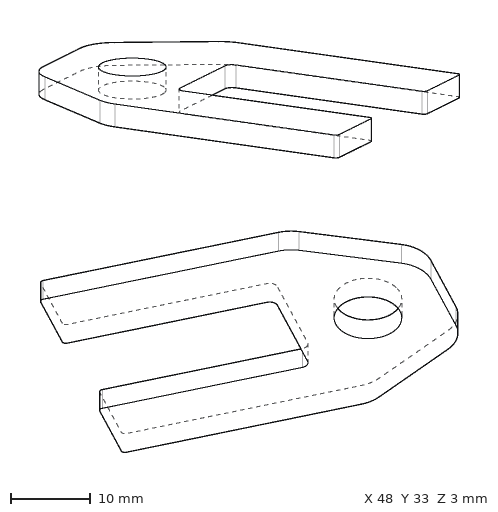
import cadquery as cq
import math

length = 48.0
width = 33.0
thickness = 3.0

nose_length = 15.0
nose_angle = 30.0
nose_radius = 5.0

hole_diameter = 8.5
hole_from_nose = 10.0
slot_from_nose = 20.0
slot_width = 14.0
slot_corner_radius = 1.0

tip_radius = 0.5

half_width = width / 2
nose_half_width = half_width - nose_length * math.tan(math.radians(nose_angle))


def vertical_edges(solid, x):
    """Select the vertical edges of the solid that stand at the given X."""
    margin = 0.01
    box = cq.selectors.BoxSelector(
        (x - margin, -width, -thickness),
        (x + margin, width, 2 * thickness),
    )
    return solid.edges("|Z").edges(box)


def make_plate():
    """Plate with a tapered nose at X = 0 and a square end at X = length."""
    outline = [
        (0, -nose_half_width),
        (nose_length, -half_width),
        (length, -half_width),
        (length, half_width),
        (nose_length, half_width),
        (0, nose_half_width),
    ]
    return cq.Workplane("XY").polyline(outline).close().extrude(thickness)


def make_slot():
    """Rectangular cutter that opens through the end opposite the nose."""
    slot_length = length - slot_from_nose
    return (
        cq.Workplane("XY")
        .center(slot_from_nose + slot_length / 2, 0)
        .rect(slot_length, slot_width)
        .extrude(thickness)
    )


def make_hole():
    """Cylindrical cutter for the through hole in the nose."""
    return (
        cq.Workplane("XY")
        .center(hole_from_nose, 0)
        .circle(hole_diameter / 2)
        .extrude(thickness)
    )


def round_corners(solid):
    """Round the nose, slot and prong tip corners."""
    corners = [
        (0, nose_radius),
        (nose_length, nose_radius),
        (slot_from_nose, slot_corner_radius),
        (length, tip_radius),
    ]
    for x, radius in corners:
        solid = vertical_edges(solid, x).fillet(radius)
    return solid


result = round_corners(make_plate().cut(make_slot())).cut(make_hole())